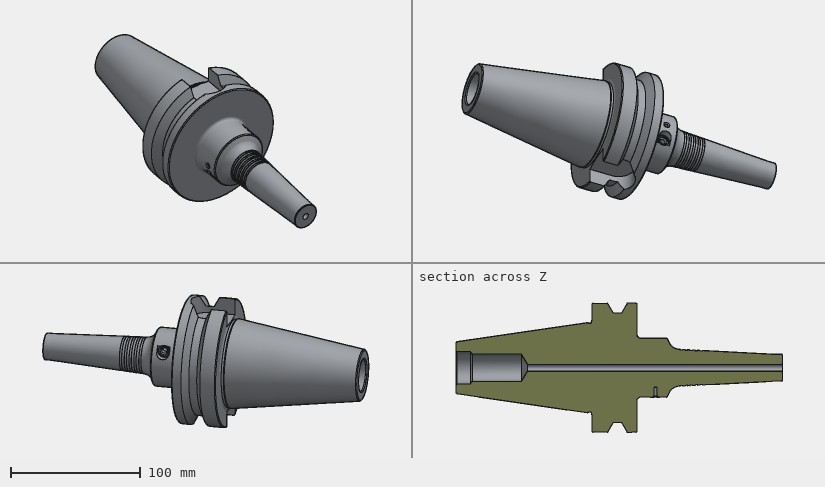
import cadquery as cq
import math

total_length = 251.8

gauge_diameter = 69.7
taper_length = 101.5
taper_ratio = 7 / 24
taper_end_lip = 0.8
shank_end_chamfer = 0.8

neck_diameter = 69.0
neck_flare_start = 104.0
neck_flare_diameter = 73.8

flange_diameter = 100.0
flange_start = 104.7
flange_end = 139.7
flange_chamfer = 0.8
groove_floor_diameter = 84.9
groove_floor_start = 121.4
groove_floor_end = 127.7
groove_flank_angle = math.radians(30)

key_slot_width = 25.7
key_slot_floor = 35.3
key_slot_end = 136.2

hub_diameter = 45.8
hub_fillet = 2.5
hub_end = 162.5
hub_chamfer = 0.8
shoulder_fillet = 9.5
shoulder_fillet_angle = math.radians(50)
shoulder_fillet_end = 172.2

nose_half_angle = math.radians(3)
tip_diameter = 21.0
tip_start = 246.3
tip_chamfer = 0.5

ring_groove_count = 5
ring_groove_first = 172.7
ring_groove_last = 188.3
ring_groove_width = 1.8
ring_groove_depth = 0.38

bore_mouth_diameter = 26.7
bore_diameter = 25.0
bore_depth = 11.0
thread_entry_diameter = 24.0
thread_core_diameter = 21.0
thread_core_depth = 50.4
drill_half_angle = math.radians(59)
coolant_diameter = 5.0

hub_features_x = 153.8
pocket_width = 9.8
pocket_height = 11.5
pocket_floor = 16.5
screw_seat_diameter = 9.0
screw_seat_depth = 1.0
screw_hole_diameter = 4.5
screw_sink_diameter = 6.5
screw_hole_depth = 5.0
vent_diameter = 5.0
vent_core_diameter = 3.0
vent_height = -1.0
vent_sink_depth = 1.0
vent_depth = 7.5

gauge_radius = gauge_diameter / 2
neck_radius = neck_diameter / 2
neck_flare_radius = neck_flare_diameter / 2
flange_radius = flange_diameter / 2
groove_floor_radius = groove_floor_diameter / 2
hub_radius = hub_diameter / 2
tip_radius = tip_diameter / 2


def taper_radius(x):
    """Radius of the shank taper at a position along X."""
    return gauge_radius - (taper_length - x) * taper_ratio / 2


def nose_radius(x):
    """Radius of the nose cone at a position along X."""
    return tip_radius + (tip_start - x) * math.tan(nose_half_angle)


def arc_point(center, radius, angle):
    """Point on a circle, with the angle measured from the +X direction."""
    return (center[0] + radius * math.cos(angle), center[1] + radius * math.sin(angle))


def revolve_about_x(profile):
    """Full turn of a profile, drawn in the XY plane, about the X axis."""
    return profile.close().revolve(360, (0, 0, 0), (1, 0, 0))


def make_body():
    """Turned outside of the holder, solid to the axis."""
    neck_start = taper_length + taper_end_lip
    hub_fillet_center = (flange_end + hub_fillet, hub_radius + hub_fillet)
    flank_run = (flange_radius - groove_floor_radius) * math.tan(groove_flank_angle)

    nose_normal = math.pi / 2 - nose_half_angle
    shoulder_normal = math.pi / 2 - shoulder_fillet_angle
    fillet_end = (shoulder_fillet_end, nose_radius(shoulder_fillet_end))
    fillet_center = arc_point(fillet_end, shoulder_fillet, nose_normal)
    fillet_start = arc_point(fillet_center, shoulder_fillet, math.pi + shoulder_normal)
    fillet_middle = arc_point(fillet_center, shoulder_fillet, math.pi + (shoulder_normal + nose_normal) / 2)

    profile = (
        cq.Workplane("XY")
        .moveTo(0, 0)
        .lineTo(0, taper_radius(0) - shank_end_chamfer)
        .lineTo(shank_end_chamfer, taper_radius(shank_end_chamfer))
        .lineTo(taper_length, gauge_radius)
        .lineTo(neck_start, neck_radius)
        .lineTo(neck_flare_start, neck_radius)
        .lineTo(flange_start, neck_flare_radius)
        .lineTo(flange_start, flange_radius - flange_chamfer)
        .lineTo(flange_start + flange_chamfer, flange_radius)
        .lineTo(groove_floor_start - flank_run, flange_radius)
        .lineTo(groove_floor_start, groove_floor_radius)
        .lineTo(groove_floor_end, groove_floor_radius)
        .lineTo(groove_floor_end + flank_run, flange_radius)
        .lineTo(flange_end - flange_chamfer, flange_radius)
        .lineTo(flange_end, flange_radius - flange_chamfer)
        .lineTo(flange_end, hub_radius + hub_fillet)
        .threePointArc(
            arc_point(hub_fillet_center, hub_fillet, -3 * math.pi / 4),
            (flange_end + hub_fillet, hub_radius),
        )
        .lineTo(hub_end, hub_radius)
        .lineTo(hub_end + hub_chamfer, hub_radius - hub_chamfer)
        .lineTo(*fillet_start)
        .threePointArc(fillet_middle, fillet_end)
        .lineTo(tip_start, tip_radius)
        .lineTo(total_length - tip_chamfer, tip_radius)
        .lineTo(total_length, tip_radius - tip_chamfer)
        .lineTo(total_length, 0)
    )
    return revolve_about_x(profile)


def make_key_slot():
    """Flat-floored slot above the axis, open toward the shank, with a round end."""
    round_radius = key_slot_width / 2
    round_center = key_slot_end - round_radius
    return (
        cq.Workplane("XY", origin=(0, 0, key_slot_floor))
        .moveTo(taper_length, -round_radius)
        .lineTo(round_center, -round_radius)
        .threePointArc((key_slot_end, 0), (round_center, round_radius))
        .lineTo(taper_length, round_radius)
        .close()
        .extrude(flange_radius)
    )


def make_ring_groove(start):
    """Shallow ring whose floor follows the nose cone."""
    end = start + ring_groove_width
    profile = (
        cq.Workplane("XY")
        .moveTo(start, nose_radius(start) - ring_groove_depth)
        .lineTo(start, hub_radius)
        .lineTo(end, hub_radius)
        .lineTo(end, nose_radius(end) - ring_groove_depth)
    )
    return revolve_about_x(profile)


def make_bore():
    """Drawbar bore, its drill point and the coolant passage through to the tip."""
    mouth_radius = bore_mouth_diameter / 2
    bore_radius = bore_diameter / 2
    entry_radius = thread_entry_diameter / 2
    core_radius = thread_core_diameter / 2
    coolant_radius = coolant_diameter / 2
    drill_point = (core_radius - coolant_radius) / math.tan(drill_half_angle)
    profile = (
        cq.Workplane("XY")
        .moveTo(0, 0)
        .lineTo(0, mouth_radius)
        .lineTo(mouth_radius - bore_radius, bore_radius)
        .lineTo(bore_depth, bore_radius)
        .lineTo(bore_depth, entry_radius)
        .lineTo(bore_depth + entry_radius - core_radius, core_radius)
        .lineTo(thread_core_depth, core_radius)
        .lineTo(thread_core_depth + drill_point, coolant_radius)
        .lineTo(total_length, coolant_radius)
        .lineTo(total_length, 0)
    )
    return revolve_about_x(profile)


def make_stepped_hole(height, surface, reach, mouth_diameter, core_diameter, sink_depth, depth):
    """Countersunk blind hole running along +Y from the plane Y = surface, with a drill point.

    The mouth continues outward from that plane by reach.
    """
    mouth_radius = mouth_diameter / 2
    core_radius = core_diameter / 2
    drill_point = core_radius / math.tan(drill_half_angle)
    return (
        cq.Workplane("XY", origin=(hub_features_x, surface, height))
        .moveTo(0, -reach)
        .lineTo(mouth_radius, -reach)
        .lineTo(mouth_radius, 0)
        .lineTo(core_radius, sink_depth)
        .lineTo(core_radius, depth)
        .lineTo(0, depth + drill_point)
        .close()
        .revolve(360, (0, 0, 0), (0, 1, 0))
    )


def make_screw_pocket():
    """Pocket on the -Y side of the hub, round toward the axis and open downward, with its screw seat and hole."""
    half_width = pocket_width / 2
    recess = (
        cq.Workplane("XZ", origin=(hub_features_x, -pocket_floor, 0))
        .moveTo(-half_width, -hub_radius)
        .lineTo(-half_width, -pocket_height)
        .threePointArc((0, half_width - pocket_height), (half_width, -pocket_height))
        .lineTo(half_width, -hub_radius)
        .close()
        .extrude(hub_radius - pocket_floor)
    )
    seat_floor = pocket_floor - screw_seat_depth
    seat = (
        cq.Workplane("XZ", origin=(hub_features_x, -seat_floor, -pocket_height))
        .circle(screw_seat_diameter / 2)
        .extrude(hub_radius - seat_floor)
    )
    screw_hole = make_stepped_hole(
        -pocket_height,
        -seat_floor,
        screw_seat_depth,
        screw_sink_diameter,
        screw_hole_diameter,
        (screw_sink_diameter - screw_hole_diameter) / 2,
        screw_hole_depth,
    )
    return recess.union(seat).union(screw_hole)


def half_turn(shape):
    """Shape turned to the opposite side of the X axis."""
    return shape.rotate((0, 0, 0), (1, 0, 0), 180)


result = make_body().cut(make_bore())

for paired_cut in (make_key_slot(), make_screw_pocket()):
    result = result.cut(paired_cut).cut(half_turn(paired_cut))

ring_groove_pitch = (ring_groove_last - ring_groove_first) / (ring_groove_count - 1)
for index in range(ring_groove_count):
    result = result.cut(make_ring_groove(ring_groove_first + index * ring_groove_pitch))

vent_hole = make_stepped_hole(
    vent_height, -hub_radius, hub_radius, vent_diameter, vent_core_diameter, vent_sink_depth, vent_depth
)
result = result.cut(vent_hole)